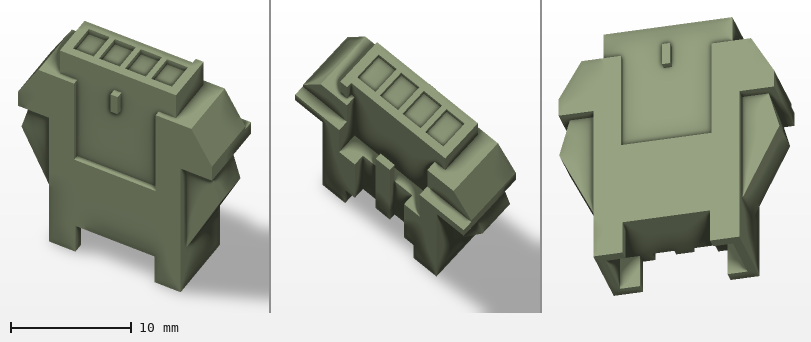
import cadquery as cq

height = 21.6
depth = 6.6

body_half_width = 6.26
foot_height = 2.92
foot_gap_half_width = 3.75
front_wall = 0.95
side_wall = 0.8

shoulder_half_width = 9.25
shoulder_bottom = 14.05
shoulder_slope_bottom = 15.62
shoulder_top = 19.0
shoulder_top_half_width = 7.28
ledge_top = 15.3
upper_depth = 5.64

barb_half_width = 9.45
barb_root_half_width = 8.53
barb_tip_height = 10.8
barb_bottom = 4.28
barb_front = 0.97
barb_thickness = 3.48

plug_half_width = 5.53
plug_front = 0.52
plug_back = 4.67
rib_width = 0.75
rib_depth = 0.52
pocket_count = 4
pocket_pitch = 2.48
pocket_width = 1.99
pocket_length = 2.7
pocket_depth = 0.58
pocket_center_y = 2.61

window_half_width = 3.89
window_bottom = 10.4
nub_width = 0.7
nub_projection = 0.13
nub_bottom = 17.58
nub_top = 19.53
rear_recess_half_width = 4.4
rear_slot_half_width = 2.7
rear_slot_floor = 5.57
tab_half_width = 0.78
tab_projection = 0.6


def block(x_range, y_range, z_range):
    """Box spanning the given limits along each axis."""
    (x0, x1), (y0, y1), (z0, z1) = x_range, y_range, z_range
    return cq.Workplane("XY").box(x1 - x0, y1 - y0, z1 - z0, centered=False).translate((x0, y0, z0))


def centered_block(half_width, y_range, z_range):
    """Box symmetric about the YZ plane."""
    return block((-half_width, half_width), y_range, z_range)


def symmetric_plate(right_side, front, thickness):
    """Extrude a right-hand XZ profile and its mirror image backward from the front."""
    left_side = [(-x, z) for x, z in reversed(right_side)]
    profile = cq.Workplane("XZ").polyline(right_side + left_side).close()
    return profile.extrude(-thickness).translate((0, front, 0))


def make_housing():
    housing = symmetric_plate(
        [
            (body_half_width, 0),
            (body_half_width, shoulder_bottom),
            (shoulder_half_width, shoulder_bottom),
            (shoulder_half_width, shoulder_slope_bottom),
            (shoulder_top_half_width, shoulder_top),
        ],
        0,
        depth,
    )
    barbs = symmetric_plate(
        [
            (body_half_width, barb_bottom),
            (barb_half_width, barb_tip_height),
            (barb_root_half_width, shoulder_bottom),
        ],
        barb_front,
        barb_thickness,
    )
    rear_step = centered_block(shoulder_half_width, (upper_depth, depth), (ledge_top, shoulder_top))
    window = centered_block(window_half_width, (0, plug_front), (window_bottom, shoulder_top))
    rear_recess = centered_block(rear_recess_half_width, (plug_back, depth), (window_bottom, shoulder_top))
    return housing.union(barbs).cut(rear_step).cut(window).cut(rear_recess)


def cut_openings(housing):
    foot_gap = centered_block(foot_gap_half_width, (0, depth), (0, foot_height))
    cavity = centered_block(body_half_width - side_wall, (front_wall, upper_depth), (0, foot_height))
    rear_slot = centered_block(rear_slot_half_width, (rear_slot_floor, depth), (0, shoulder_top))
    return housing.cut(foot_gap).cut(cavity).cut(rear_slot)


def make_plug():
    plug = centered_block(plug_half_width, (plug_front, plug_back), (window_bottom, height))
    rib = block(
        (plug_half_width - rib_width, plug_half_width),
        (plug_back, plug_back + rib_depth),
        (window_bottom, height),
    )
    plug = plug.union(rib)
    for index in range(pocket_count):
        center_x = (index - (pocket_count - 1) / 2) * pocket_pitch
        pocket = block(
            (center_x - pocket_width / 2, center_x + pocket_width / 2),
            (pocket_center_y - pocket_length / 2, pocket_center_y + pocket_length / 2),
            (height - pocket_depth, height),
        )
        plug = plug.cut(pocket)
    return plug


def make_nub():
    return centered_block(nub_width / 2, (-nub_projection, plug_front), (nub_bottom, nub_top))


def make_rear_tab():
    return centered_block(
        tab_half_width,
        (rear_slot_floor, rear_slot_floor + tab_projection),
        (foot_height, shoulder_bottom),
    )


housing = cut_openings(make_housing())
result = housing.union(make_plug()).union(make_nub()).union(make_rear_tab())